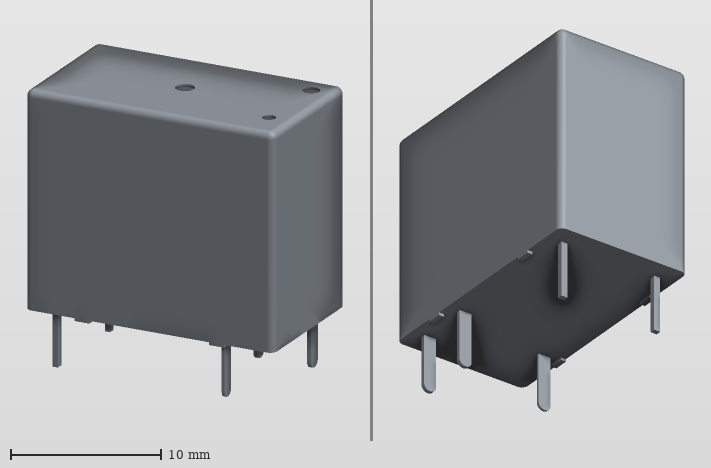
import cadquery as cq

TOTAL_HEIGHT = 19.8
LENGTH = 18.6
WIDTH = 10.41
PIN_LENGTH = 4.2
CASE_HEIGHT = TOTAL_HEIGHT - PIN_LENGTH
EDGE_RADIUS = 0.5

FOOT_LENGTH = 1.09
FOOT_DEPTH = 0.4
FOOT_HEIGHT = 0.2
FOOT_X = 5.03

PIN_ROW_Y = 3.8
COIL_PIN_X = -7.62
COIL_PIN_THICKNESS = 0.4
COIL_PIN_WIDTH = 0.5
BLADE_WIDTH = 0.99
BLADE_TIP_RADIUS = 0.48
BLADES = [
    (3.56, PIN_ROW_Y, 0.3),
    (7.58, PIN_ROW_Y, 0.3),
    (5.05, -PIN_ROW_Y, 0.2),
]

RECESS_DEPTH = 0.2
RECESSES = [
    (0.0, 0.0, 1.35),
    (7.72, 3.37, 1.19),
    (7.58, -2.53, 0.97),
]


def make_case():
    case = cq.Workplane("XY").box(LENGTH, WIDTH, CASE_HEIGHT, centered=(True, True, False))
    return case.edges("|Z or >Z").fillet(EDGE_RADIUS)


def make_recess(x, y, diameter):
    top = cq.Workplane("XY", origin=(x, y, CASE_HEIGHT))
    return top.circle(diameter / 2).extrude(-RECESS_DEPTH)


def make_hanging_block(x, y, size_x, size_y, drop):
    """Rectangular block reaching down from the underside of the case."""
    return cq.Workplane("XY", origin=(x, y, 0)).rect(size_x, size_y).extrude(-drop)


def make_blade(x, y, thickness):
    """Flat pin whose lower end is rounded across its width."""
    blade = make_hanging_block(x, y, thickness, BLADE_WIDTH, PIN_LENGTH)
    return blade.edges("|X and <Z").fillet(BLADE_TIP_RADIUS)


result = make_case()

for x, y, diameter in RECESSES:
    result = result.cut(make_recess(x, y, diameter))

foot_y = (WIDTH - FOOT_DEPTH) / 2
for side in (-1, 1):
    for end in (-1, 1):
        foot = make_hanging_block(end * FOOT_X, side * foot_y, FOOT_LENGTH, FOOT_DEPTH, FOOT_HEIGHT)
        result = result.union(foot)
    coil_pin = make_hanging_block(
        COIL_PIN_X, side * PIN_ROW_Y, COIL_PIN_THICKNESS, COIL_PIN_WIDTH, PIN_LENGTH
    )
    result = result.union(coil_pin)

for x, y, thickness in BLADES:
    result = result.union(make_blade(x, y, thickness))